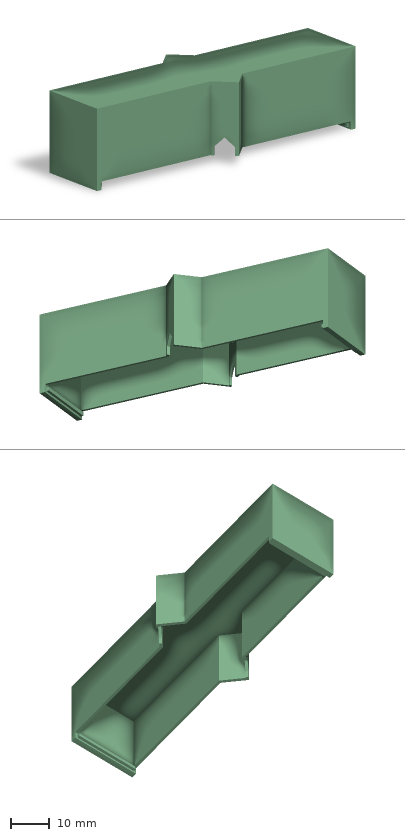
import cadquery as cq
import math

length = 85.0
body_width = 19.7
tip_to_tip = 30.3
total_height = 22.3
body_height = 20.0
end_wall = 1.5
side_wall = 0.8
roof = 1.5

rib_depth = 0.8
rib_height = 1.0
rib_base = 0.6
rib_inset = 0.8

window_width = 5.45
window_eave = 2.4
window_peak = 4.9

lip_height = total_height - body_height
diamond_size = tip_to_tip / math.sqrt(2)


def cross_prism(width, span, corner_size, height):
    """Long box crossed by a square prism standing with its corners on X and Y."""
    box = cq.Workplane("XY").box(width, span, height, centered=(True, True, False))
    corners = cq.Workplane("XY").rect(corner_size, corner_size).extrude(height)
    return box.union(corners.rotate((0, 0, 0), (0, 0, 1), 45))


def make_shell():
    outer = cross_prism(body_width, length, diamond_size, body_height)
    cavity = cross_prism(
        body_width - 2 * side_wall,
        length - 2 * end_wall,
        diamond_size - 2 * side_wall,
        body_height - roof,
    )
    return outer.cut(cavity)


def make_end_clip():
    """Lip below the -Y end wall with its inward clip rib."""
    inner_face = -length / 2 + end_wall
    lip = cq.Workplane("XY").box(body_width, end_wall, lip_height, centered=(True, False, False))
    lip = lip.translate((0, -length / 2, -lip_height))
    rib_length = body_width - 2 * rib_inset
    rib = cq.Workplane("XY").box(rib_length, rib_depth, rib_height, centered=(True, False, False))
    return lip.union(rib.translate((0, inner_face, rib_base - lip_height)))


def make_window():
    """Gabled cutter through the angled wall facing +X and -Y."""
    half = window_width / 2
    offset = (tip_to_tip - body_width) / 4
    face_middle = (tip_to_tip / 2 - offset, -offset, 0)
    outward = cq.Plane(origin=face_middle, xDir=(1, 1, 0), normal=(1, -1, 0))
    outline = [(-half, 0), (half, 0), (half, window_eave), (0, window_peak), (-half, window_eave)]
    return cq.Workplane(outward).polyline(outline).close().extrude(2 * side_wall, both=True)


def turned(feature):
    return feature.rotate((0, 0, 0), (0, 0, 1), 180)


clip = make_end_clip()
window = make_window()
result = make_shell()
for feature in (clip, turned(clip)):
    result = result.union(feature)
for cutter in (window, turned(window)):
    result = result.cut(cutter)